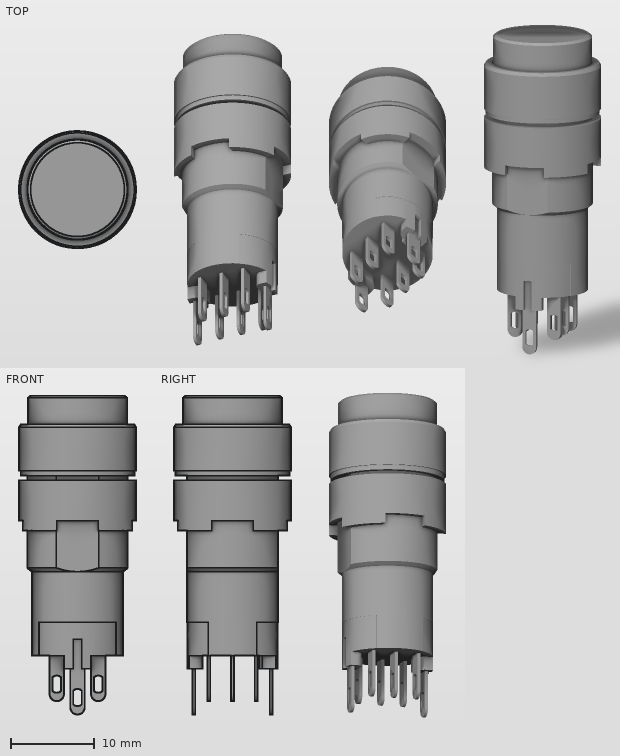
import cadquery as cq


TOTAL_HEIGHT = 38.0
FLANGE_TOP = 34.58
FLANGE_STEP_Z = 29.05
FLANGE_BOTTOM = 28.45
NUT_TOP = 27.93
NUT_NOTCH_TOP = 23.1
NUT_BOTTOM = 21.93
THREAD_BOTTOM = 17.02
TONGUE_TOP = 11.02
SLIT_TOP = 9.0
HOUSING_BOTTOM = 7.03

BUTTON_RADIUS = 5.93
BUTTON_TOP_CHAMFER = 0.25
BUTTON_CHAMFER_WIDTH = 0.35
BUTTON_CLEARANCE = 0.08
BUTTON_RECESS_DEPTH = 3.42
RECESS_FLOOR = FLANGE_TOP - BUTTON_RECESS_DEPTH

OUTER_RADIUS = 7.0
FLANGE_STEP = 0.2
FLANGE_CHAMFER = 0.38
FLANGE_CHAMFER_WIDTH = 0.23
THREAD_RADIUS = 6.0
THREAD_CHAMFER = 0.45
BARREL_RADIUS = 5.45

NUT_NOTCH_WIDTH = 4.95

BLOCK_CORE_RADIUS = 4.65
TONGUE_RADIUS = 5.4
TONGUE_INNER_Y = 2.9
TAB_HEIGHT = 1.6
TAB_BOTTOM = HOUSING_BOTTOM - TAB_HEIGHT
TAB_WIDTH = 3.25
TAB_INNER_Y = 3.57
TAB_CORNER_RADIUS = 0.87
KEY_INNER_Y = 3.15
KEY_WIDTH = 1.03
SLIT_WIDTH = 1.03

TERMINAL_WIDTH = 1.75
TERMINAL_THICKNESS = 0.38
TERMINAL_LENGTH = TAB_BOTTOM
EYE_WIDTH = 1.0
EYE_HEIGHT = 2.0
EYE_END_RISE = 0.2
EYE_ABOVE_TIP = 1.03
SIDE_TERMINAL_X = 2.47
SIDE_TERMINAL_PITCH = 2.8
END_TERMINAL_Y = 4.6


def cylinder(radius, bottom, top):
    return cq.Workplane("XY").workplane(offset=bottom).circle(radius).extrude(top - bottom)


def turned(profile):
    """Solid of revolution about Z from (radius, height) points."""
    return cq.Workplane("XZ").polyline(profile).close().revolve(360, (0, 0, 0), (0, 1, 0))


def block(x_range, y_range, z_range):
    """Box between the given limits along each axis."""
    sides = [high - low for low, high in (x_range, y_range, z_range)]
    corner = (x_range[0], y_range[0], z_range[0])
    return cq.Workplane("XY").box(*sides, centered=False).translate(corner)


def make_button():
    button = cylinder(BUTTON_RADIUS, RECESS_FLOOR, TOTAL_HEIGHT)
    return button.faces(">Z").chamfer(BUTTON_TOP_CHAMFER, BUTTON_CHAMFER_WIDTH)


def end_segments():
    """Space outside the two planes that limit the tongues of the contact block."""
    reach = 2 * OUTER_RADIUS
    across = (-OUTER_RADIUS, OUTER_RADIUS)
    heights = (HOUSING_BOTTOM, TONGUE_TOP)
    front = block(across, (-reach, -TONGUE_INNER_Y), heights)
    return front.union(block(across, (TONGUE_INNER_Y, reach), heights))


def make_housing():
    flange_profile = [
        (0, FLANGE_BOTTOM),
        (OUTER_RADIUS - FLANGE_STEP, FLANGE_BOTTOM),
        (OUTER_RADIUS - FLANGE_STEP, FLANGE_STEP_Z),
        (OUTER_RADIUS, FLANGE_STEP_Z),
        (OUTER_RADIUS, FLANGE_TOP - FLANGE_CHAMFER),
        (OUTER_RADIUS - FLANGE_CHAMFER_WIDTH, FLANGE_TOP),
        (0, FLANGE_TOP),
    ]
    flange = turned(flange_profile)

    thread_profile = [
        (0, THREAD_BOTTOM),
        (BARREL_RADIUS, THREAD_BOTTOM),
        (THREAD_RADIUS, THREAD_BOTTOM + THREAD_CHAMFER),
        (THREAD_RADIUS, FLANGE_BOTTOM),
        (0, FLANGE_BOTTOM),
    ]
    thread = turned(thread_profile)
    thread = thread.intersect(
        block(
            (-THREAD_RADIUS, THREAD_RADIUS),
            (-BARREL_RADIUS, BARREL_RADIUS),
            (THREAD_BOTTOM, FLANGE_BOTTOM),
        )
    )

    barrel = cylinder(BARREL_RADIUS, HOUSING_BOTTOM, THREAD_BOTTOM)
    housing = flange.union(thread).union(barrel)

    housing = housing.cut(cylinder(BUTTON_RADIUS + BUTTON_CLEARANCE, RECESS_FLOOR, FLANGE_TOP))

    socket = cylinder(BLOCK_CORE_RADIUS, HOUSING_BOTTOM, TONGUE_TOP).union(end_segments())
    return housing.cut(socket)


def make_nut():
    nut = cylinder(OUTER_RADIUS, NUT_BOTTOM, NUT_TOP).cut(cylinder(THREAD_RADIUS, NUT_BOTTOM, NUT_TOP))
    half_notch = NUT_NOTCH_WIDTH / 2
    notch = block((-OUTER_RADIUS, OUTER_RADIUS), (-half_notch, half_notch), (NUT_BOTTOM, NUT_NOTCH_TOP))
    for angle in (0, 90):
        nut = nut.cut(notch.rotate((0, 0, 0), (0, 0, 1), angle))
    return nut


def make_terminal(x, y, top):
    """Flat solder terminal with a round tip and an eye, hanging down from the given top."""
    half_width = TERMINAL_WIDTH / 2
    tip = -TERMINAL_LENGTH
    plane = cq.Workplane("XZ")
    blade = (
        plane.moveTo(-half_width, 0)
        .lineTo(-half_width, tip + half_width)
        .threePointArc((0, tip), (half_width, tip + half_width))
        .lineTo(half_width, 0)
        .close()
        .extrude(TERMINAL_THICKNESS / 2, both=True)
    )
    eye_bottom = tip + EYE_ABOVE_TIP
    eye_top = eye_bottom + EYE_HEIGHT
    half_eye = EYE_WIDTH / 2
    eye = (
        plane.moveTo(-half_eye, eye_bottom + EYE_END_RISE)
        .threePointArc((0, eye_bottom), (half_eye, eye_bottom + EYE_END_RISE))
        .lineTo(half_eye, eye_top - EYE_END_RISE)
        .threePointArc((0, eye_top), (-half_eye, eye_top - EYE_END_RISE))
        .close()
        .extrude(TERMINAL_THICKNESS, both=True)
    )
    return blade.cut(eye).translate((x, y, top))


def make_end_tab():
    """Tab below the -Y tongue, with rounded corners on its inner side."""
    half_tab = TAB_WIDTH / 2
    heights = (TAB_BOTTOM, HOUSING_BOTTOM)
    plate = block((-half_tab, half_tab), (-OUTER_RADIUS, -TAB_INNER_Y), heights)
    plate = plate.edges("|Z and >Y").fillet(TAB_CORNER_RADIUS)
    return plate.intersect(cylinder(TONGUE_RADIUS, *heights))


def make_end_slit():
    """Slit in the -Y tongue and tab that uncovers the front of the terminal."""
    terminal_face = -END_TERMINAL_Y - TERMINAL_THICKNESS / 2
    half_slit = SLIT_WIDTH / 2
    return block((-half_slit, half_slit), (-OUTER_RADIUS, terminal_face), (TAB_BOTTOM, SLIT_TOP))


def make_contact_block():
    core = cylinder(BLOCK_CORE_RADIUS, HOUSING_BOTTOM, TONGUE_TOP)
    tongues = cylinder(TONGUE_RADIUS, HOUSING_BOTTOM, TONGUE_TOP).intersect(end_segments())
    contact_block = core.union(tongues)

    for angle in (0, 180):
        tab = make_end_tab().rotate((0, 0, 0), (0, 0, 1), angle)
        slit = make_end_slit().rotate((0, 0, 0), (0, 0, 1), angle)
        contact_block = contact_block.union(tab).cut(slit)

    half_key = KEY_WIDTH / 2
    key = block((-half_key, half_key), (KEY_INNER_Y, TAB_INNER_Y), (TAB_BOTTOM, HOUSING_BOTTOM))
    contact_block = contact_block.union(key)

    for side in (-1, 1):
        contact_block = contact_block.union(make_terminal(0, side * END_TERMINAL_Y, TAB_BOTTOM))
        for row in (-1, 0, 1):
            terminal = make_terminal(side * SIDE_TERMINAL_X, row * SIDE_TERMINAL_PITCH, HOUSING_BOTTOM)
            contact_block = contact_block.union(terminal)
    return contact_block


button = make_button()
housing = make_housing()
nut = make_nut()
contact_block = make_contact_block()

result = cq.Compound.makeCompound([button.val(), housing.val(), nut.val(), contact_block.val()])